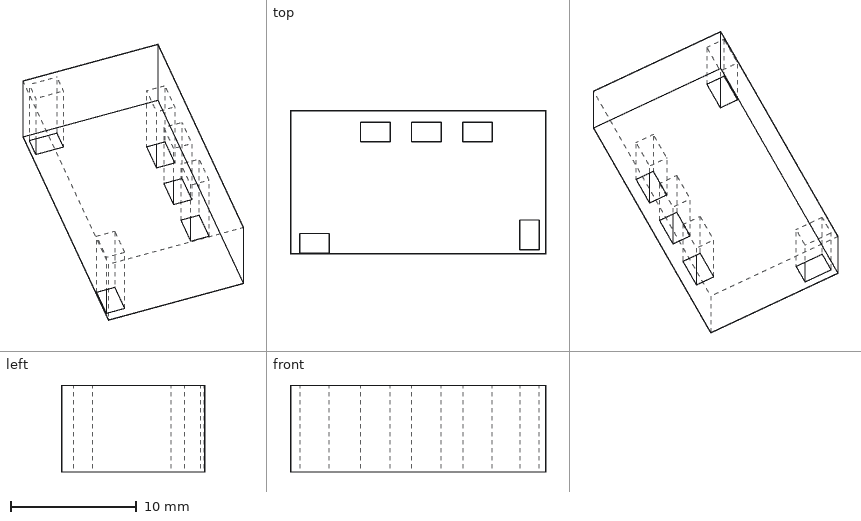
import cadquery as cq

length = 20.3
width = 11.4
height = 6.9

slot_long = 2.33
slot_short = 1.55

row_count = 3
row_pitch = 4.05
row_middle_x = 10.8
row_back_wall = 0.93

left_slot_side_wall = 0.73
left_slot_front_wall = 0.08

right_slot_side_wall = 0.53
right_slot_front_wall = 0.35


def slot(center_x, center_y, size_x, size_y):
    """Cutter for a slot through the full height of the block."""
    return cq.Workplane("XY").center(center_x, center_y).rect(size_x, size_y).extrude(height)


result = cq.Workplane("XY").box(length, width, height, centered=False)

row_y = width - row_back_wall - slot_short / 2
for index in range(row_count):
    row_x = row_middle_x + (index - (row_count - 1) / 2) * row_pitch
    result = result.cut(slot(row_x, row_y, slot_long, slot_short))

left_slot_x = left_slot_side_wall + slot_long / 2
left_slot_y = left_slot_front_wall + slot_short / 2
result = result.cut(slot(left_slot_x, left_slot_y, slot_long, slot_short))

right_slot_x = length - right_slot_side_wall - slot_short / 2
right_slot_y = right_slot_front_wall + slot_long / 2
result = result.cut(slot(right_slot_x, right_slot_y, slot_short, slot_long))